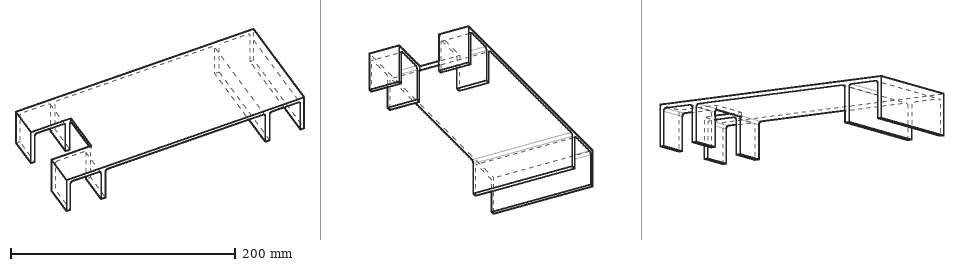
import cadquery as cq

width = 100.0
length = 238.0
height = 38.0

plate_thickness = 3.8
outer_leg_thickness = 3.8
inner_leg_thickness = 4.5
inner_leg_offset = 34.5
fillet_radius = 2.5

notch_width = 40.0
notch_depth = 40.0

leg_height = height - plate_thickness
end_bay_length = inner_leg_offset - outer_leg_thickness
middle_bay_length = length - 2 * (inner_leg_offset + inner_leg_thickness)
end_bay_center = length / 2 - outer_leg_thickness - end_bay_length / 2


def bay(bay_length, center_y):
    """Open space between two legs, rounded where the legs meet the plate."""
    return (
        cq.Workplane("XY")
        .box(width, bay_length, leg_height, centered=(True, True, False))
        .edges("|X and >Z")
        .fillet(fillet_radius)
        .translate((0, center_y, 0))
    )


result = cq.Workplane("XY").box(width, length, height, centered=(True, True, False))
result = result.cut(bay(middle_bay_length, 0))
for side in (-1, 1):
    result = result.cut(bay(end_bay_length, side * end_bay_center))

notch = (
    cq.Workplane("XY")
    .box(notch_width, notch_depth, height, centered=(True, False, False))
    .translate((0, -length / 2, 0))
)
result = result.cut(notch)